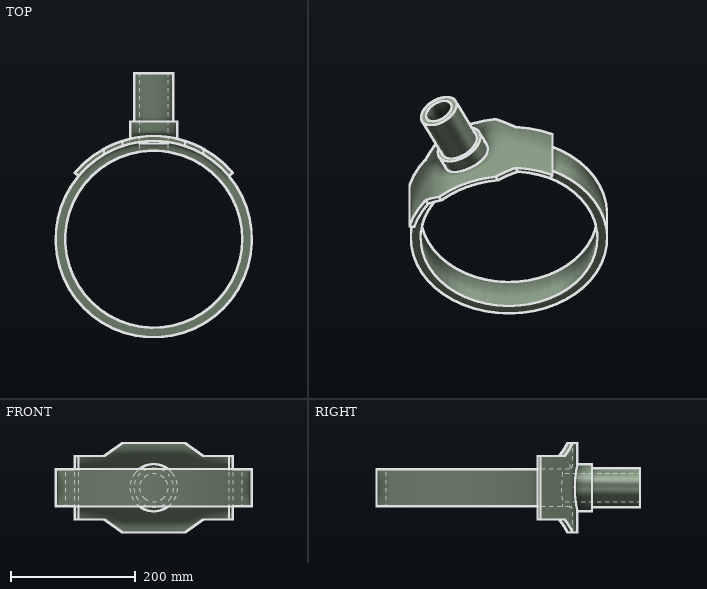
import cadquery as cq
import math

ring_outer_radius = 157.5
ring_inner_radius = 141.75
ring_height = 60.0

saddle_thickness = 7.9
saddle_outer_radius = ring_outer_radius + saddle_thickness
saddle_half_angle = 50.0
saddle_end_height = 102.0
saddle_middle_height = 144.0
saddle_crest_width = 100.0
saddle_shoulder_width = 159.0

collar_diameter = 75.7
collar_inner_y = 153.0
collar_outer_y = 189.0
pipe_diameter = 63.0
pipe_end_y = 266.0
bore_diameter = 45.3


def cylinder_along_y(diameter, start_y, end_y):
    """Solid cylinder on the Y axis between two Y positions."""
    return (
        cq.Workplane("XZ", origin=(0, start_y, 0))
        .circle(diameter / 2)
        .extrude(start_y - end_y)
    )


def make_ring():
    return (
        cq.Workplane("XY")
        .circle(ring_outer_radius)
        .circle(ring_inner_radius)
        .extrude(ring_height / 2, both=True)
    )


def make_saddle():
    """Arc-shaped band with radial ends, trimmed to a taller middle that slopes to lower ends."""
    angle = math.radians(saddle_half_angle)
    end_x = math.sin(angle)
    end_y = math.cos(angle)
    band = (
        cq.Workplane("XY")
        .moveTo(-saddle_outer_radius * end_x, saddle_outer_radius * end_y)
        .threePointArc(
            (0, saddle_outer_radius),
            (saddle_outer_radius * end_x, saddle_outer_radius * end_y),
        )
        .lineTo(ring_outer_radius * end_x, ring_outer_radius * end_y)
        .threePointArc(
            (0, ring_outer_radius),
            (-ring_outer_radius * end_x, ring_outer_radius * end_y),
        )
        .close()
        .extrude(saddle_middle_height / 2, both=True)
    )

    half_crest = saddle_crest_width / 2
    half_shoulder = saddle_shoulder_width / 2
    top_z = saddle_middle_height / 2
    end_z = saddle_end_height / 2
    right_edge = [
        (half_crest, top_z),
        (half_shoulder, end_z),
        (saddle_outer_radius, end_z),
        (saddle_outer_radius, -end_z),
        (half_shoulder, -end_z),
        (half_crest, -top_z),
    ]
    left_edge = [(-x, z) for x, z in reversed(right_edge)]
    silhouette = (
        cq.Workplane("XZ")
        .polyline(right_edge + left_edge)
        .close()
        .extrude(-saddle_outer_radius)
    )
    return band.intersect(silhouette)


def make_branch():
    collar = cylinder_along_y(collar_diameter, collar_inner_y, collar_outer_y)
    pipe = cylinder_along_y(pipe_diameter, collar_inner_y, pipe_end_y)
    return collar.union(pipe)


def make_bore():
    """Passage through the pipe, the collar, the saddle and the near wall of the ring."""
    return cylinder_along_y(bore_diameter, 0, pipe_end_y)


result = make_ring().union(make_saddle()).union(make_branch()).cut(make_bore())